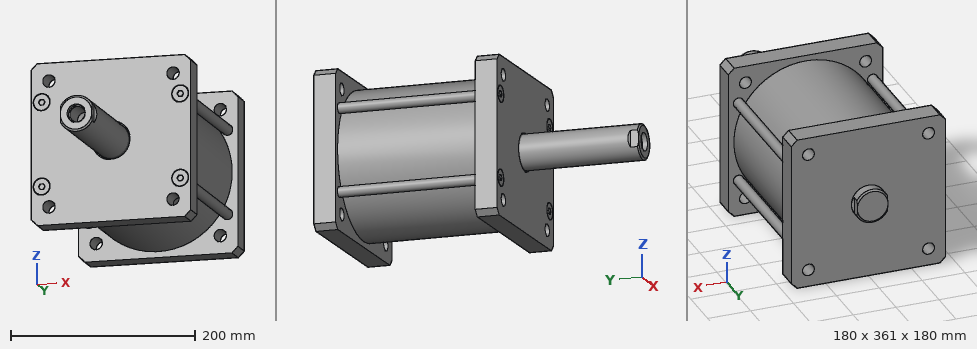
import cadquery as cq
import math

total_length = 361.0

plate_side = 180.0
plate_thickness = 25.3
plate_corner_chamfer = 7.0
front_plate_start = 137.0
front_plate_end = front_plate_start + plate_thickness
rear_stub_length = 12.3
rear_plate_start = total_length - rear_stub_length - plate_thickness
plate_gap = rear_plate_start - front_plate_end
mount_hole_diameter = 13.7
mount_hole_spacing = 140.0

tube_diameter = 167.0

rod_diameter = 12.0
rod_spacing_x = 156.3
rod_spacing_z = 94.0
head_recess_diameter = 19.0
head_diameter = 18.0
head_recess_depth = 12.0
socket_across_flats = 6.0
socket_across_corners = socket_across_flats / math.cos(math.pi / 6)
socket_depth = 1.8

shaft_diameter = 40.0
shaft_clearance_diameter = 43.0
shaft_clearance_depth = 3.5
flat_across = 35.5
flat_depth = (shaft_diameter - flat_across) / 2
flat_length = 9.5
end_chamfer_length = 1.5
end_chamfer_depth = 2.0

bore_diameter = 17.5
bore_depth = 36.0
bore_tip_angle = 118.0
counterbore_diameter = 20.2
counterbore_depth = 5.8


def section_plane(y):
    """Workplane facing +Y at the given position, with local x along X and local y along -Z."""
    return cq.Workplane("XZ", origin=(0, y, 0)).transformed(rotate=(180, 0, 0))


def make_tube():
    return section_plane(front_plate_end).circle(tube_diameter / 2).extrude(plate_gap)


def make_plate(y):
    plate = section_plane(y).rect(plate_side, plate_side).extrude(plate_thickness)
    plate = plate.edges("|Y").chamfer(plate_corner_chamfer)
    holes = (
        section_plane(y)
        .rect(mount_hole_spacing, mount_hole_spacing, forConstruction=True)
        .vertices()
        .circle(mount_hole_diameter / 2)
        .extrude(plate_thickness)
    )
    return plate.cut(holes)


def rod_pattern(y):
    return section_plane(y).rect(rod_spacing_x, rod_spacing_z, forConstruction=True).vertices()


def make_rods():
    return rod_pattern(front_plate_end).circle(rod_diameter / 2).extrude(plate_gap)


def cut_screw_heads(body):
    """Cut the gap around each flush screw head and the hexagon socket in it."""
    gaps = (
        rod_pattern(front_plate_start)
        .circle(head_recess_diameter / 2)
        .circle(head_diameter / 2)
        .extrude(head_recess_depth)
    )
    sockets = rod_pattern(front_plate_start).polygon(6, socket_across_corners).extrude(socket_depth)
    return body.cut(gaps).cut(sockets)


def cut_shaft_clearance(body):
    gap = (
        section_plane(front_plate_start)
        .circle(shaft_clearance_diameter / 2)
        .circle(shaft_diameter / 2)
        .extrude(shaft_clearance_depth)
    )
    return body.cut(gap)


def make_shaft():
    radius = shaft_diameter / 2
    end_radius = radius - end_chamfer_depth
    profile = [
        (0, 0),
        (end_radius, 0),
        (radius, end_chamfer_length),
        (radius, total_length - end_chamfer_length),
        (end_radius, total_length),
        (0, total_length),
    ]
    return cq.Workplane("XY").polyline(profile).close().revolve(360, (0, 0, 0), (0, 1, 0))


def cut_wrench_flats(body):
    """Cut two opposite flats with 45 degree run-outs at each end of the shaft."""
    inner = flat_across / 2
    outer = shaft_diameter / 2
    for end, inward in ((0, 1), (total_length, -1)):
        for side in (-1, 1):
            profile = [
                (side * inner, end),
                (side * outer, end),
                (side * outer, end + inward * (flat_length + flat_depth)),
                (side * inner, end + inward * flat_length),
            ]
            flat = cq.Workplane("XY").polyline(profile).close().extrude(outer, both=True)
            body = body.cut(flat)
    return body


def make_centre_hole():
    radius = bore_diameter / 2
    tip_length = radius / math.tan(math.radians(bore_tip_angle / 2))
    profile = [
        (0, 0),
        (counterbore_diameter / 2, 0),
        (counterbore_diameter / 2, counterbore_depth),
        (radius, counterbore_depth),
        (radius, bore_depth),
        (0, bore_depth + tip_length),
    ]
    return cq.Workplane("XY").polyline(profile).close().revolve(360, (0, 0, 0), (0, 1, 0))


shaft = cut_wrench_flats(make_shaft()).cut(make_centre_hole())

body = make_plate(front_plate_start).union(make_plate(rear_plate_start))
body = body.union(make_tube()).union(make_rods())
body = cut_screw_heads(body)
body = body.union(shaft)
result = cut_shaft_clearance(body)